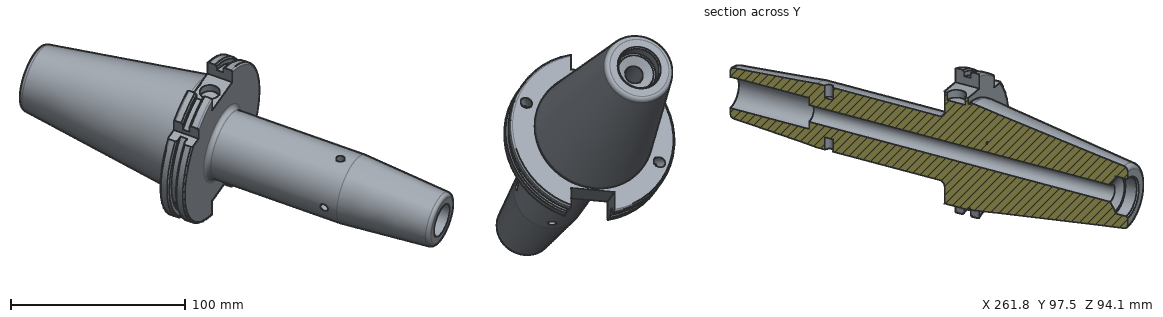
import cadquery as cq
import math

GAUGE_DIA = 69.85
TAPER_RATIO = 7 / 24
TAPER_LENGTH = 101.75
TAPER_END_FILLET = 3.0
NOSE_X = 160.0

FLANGE_DIA = 97.5
FLANGE_BACK_X = 3.2
FLANGE_FRONT_X = 19.1
FLANGE_EDGE_FILLET = 1.0
GROOVE_CENTER_X = 11.15
GROOVE_FLOOR_DIA = 90.0
GROOVE_WIDTH = 4.2
GROOVE_MOUTH_CHAMFER = 1.0
UNDERCUT_DIA = 68.0
UNDERCUT_WIDTH = 1.2

KEYWAY_WIDTH = 25.7
UPPER_KEYWAY_FLOOR = 37.7
LOWER_KEYWAY_FLOOR = 35.4
NOTCH_OFFSET = 30.3
CHIP_HOLE_DIA = 11.5
CHIP_HOLE_DEPTH = 5.0

BODY_DIA = 42.0
BODY_ROOT_FILLET = 3.0
NOSE_DIA = 33.0
NOSE_CONE_ANGLE = 4.5
NOSE_FILLET = 2.5

DRAWBAR_BORE_DIA = 24.0
DRAWBAR_BORE_DEPTH = 8.3
DRAWBAR_MOUTH_DIA = 25.7
DRAWBAR_MOUTH_DEPTH = 1.0
CORE_DIA = 21.4
CORE_CONE_ANGLE = 59.0
COOLANT_BORE_DIA = 10.6
SHANK_BORE_DIA = 20.0
SHANK_BORE_DEPTH = 52.0

BALANCE_HOLE_DIA = 5.0
BALANCE_HOLE_DEPTH = 8.0
BALANCE_HOLE_X = 95.0
BALANCE_HOLE_COUNT = 4

FACE_HOLE_DIA = 6.0
FACE_HOLE_RADIUS = 42.0
FACE_HOLE_ANGLES = (20.0, 200.0)
FACE_HOLE_TILT = 30.0
CROSS_HOLE_DIA = 3.0


def revolve(points):
    """Solid of revolution about X from (x, radius) points."""
    return cq.Workplane("XY").polyline(points).close().revolve(360, (0, 0, 0), (1, 0, 0))


def box(x_range, y_range, z_range):
    """Box spanning the three given ranges."""
    size = [high - low for low, high in (x_range, y_range, z_range)]
    corner = (x_range[0], y_range[0], z_range[0])
    return cq.Workplane(cq.Solid.makeBox(*size, cq.Vector(*corner)))


def cylinder(start, direction, diameter, length):
    return cq.Workplane(
        cq.Solid.makeCylinder(diameter / 2, length, cq.Vector(*start), cq.Vector(*direction))
    )


def make_taper():
    end_radius = (GAUGE_DIA - TAPER_LENGTH * TAPER_RATIO) / 2
    undercut_x = FLANGE_BACK_X - UNDERCUT_WIDTH
    taper = revolve([
        (-TAPER_LENGTH, 0),
        (-TAPER_LENGTH, end_radius),
        (0, GAUGE_DIA / 2),
        (undercut_x, GAUGE_DIA / 2),
        (undercut_x, UNDERCUT_DIA / 2),
        (FLANGE_BACK_X, UNDERCUT_DIA / 2),
        (FLANGE_BACK_X, 0),
    ])
    return taper.faces("<X").edges().fillet(TAPER_END_FILLET)


def make_flange():
    outer = FLANGE_DIA / 2
    floor = GROOVE_FLOOR_DIA / 2
    half_groove = GROOVE_WIDTH / 2
    half_mouth = half_groove + GROOVE_MOUTH_CHAMFER
    chamfer_radius = outer - GROOVE_MOUTH_CHAMFER
    flange = revolve([
        (FLANGE_BACK_X, 0),
        (FLANGE_BACK_X, outer),
        (GROOVE_CENTER_X - half_mouth, outer),
        (GROOVE_CENTER_X - half_groove, chamfer_radius),
        (GROOVE_CENTER_X - half_groove, floor),
        (GROOVE_CENTER_X + half_groove, floor),
        (GROOVE_CENTER_X + half_groove, chamfer_radius),
        (GROOVE_CENTER_X + half_mouth, outer),
        (FLANGE_FRONT_X, outer),
        (FLANGE_FRONT_X, 0),
    ])
    return flange.faces("<X or >X").edges().fillet(FLANGE_EDGE_FILLET)


def make_body():
    body_radius = BODY_DIA / 2
    nose_radius = NOSE_DIA / 2
    cone_length = (body_radius - nose_radius) / math.tan(math.radians(NOSE_CONE_ANGLE))
    root = BODY_ROOT_FILLET
    root_middle = root * (1 - math.sqrt(0.5))
    profile = (
        cq.Workplane("XY")
        .moveTo(FLANGE_FRONT_X, 0)
        .lineTo(FLANGE_FRONT_X, body_radius + root)
        .threePointArc(
            (FLANGE_FRONT_X + root_middle, body_radius + root_middle),
            (FLANGE_FRONT_X + root, body_radius),
        )
        .lineTo(NOSE_X - cone_length, body_radius)
        .lineTo(NOSE_X, nose_radius)
        .lineTo(NOSE_X, 0)
        .close()
    )
    body = profile.revolve(360, (0, 0, 0), (1, 0, 0))
    return body.faces(">X").edges().fillet(NOSE_FILLET)


def make_bores():
    coolant_radius = COOLANT_BORE_DIA / 2
    core_radius = CORE_DIA / 2
    drawbar_radius = DRAWBAR_BORE_DIA / 2
    back_x = -TAPER_LENGTH
    drawbar_end_x = back_x + DRAWBAR_BORE_DEPTH
    cone_length = (core_radius - coolant_radius) / math.tan(math.radians(CORE_CONE_ANGLE))
    shank_end_x = NOSE_X - SHANK_BORE_DEPTH
    return revolve([
        (back_x, 0),
        (back_x, DRAWBAR_MOUTH_DIA / 2),
        (back_x + DRAWBAR_MOUTH_DEPTH, drawbar_radius),
        (drawbar_end_x, drawbar_radius),
        (drawbar_end_x, core_radius),
        (drawbar_end_x + cone_length, coolant_radius),
        (shank_end_x, coolant_radius),
        (shank_end_x, SHANK_BORE_DIA / 2),
        (NOSE_X, SHANK_BORE_DIA / 2),
        (NOSE_X, 0),
    ])


def cut_flange_openings(part):
    width = (FLANGE_BACK_X, FLANGE_FRONT_X)
    half_key = KEYWAY_WIDTH / 2
    part = part.cut(box(width, (-half_key, half_key), (UPPER_KEYWAY_FLOOR, FLANGE_DIA)))
    part = part.cut(box(width, (-half_key, half_key), (-FLANGE_DIA, -LOWER_KEYWAY_FLOOR)))
    part = part.cut(box(width, (-FLANGE_DIA, -NOTCH_OFFSET), (NOTCH_OFFSET, FLANGE_DIA)))
    chip_start = (GROOVE_CENTER_X, 0, UPPER_KEYWAY_FLOOR)
    return part.cut(cylinder(chip_start, (0, 0, -1), CHIP_HOLE_DIA, CHIP_HOLE_DEPTH))


def cut_face_holes(part):
    """Inclined coolant holes in the flange back face, each met by a radial hole from the groove."""
    tilt = math.radians(FACE_HOLE_TILT)
    meeting_depth = GROOVE_CENTER_X - FLANGE_BACK_X
    meeting_radius = FACE_HOLE_RADIUS - meeting_depth * math.tan(tilt)
    lead_in = FACE_HOLE_DIA
    hole_length = meeting_depth / math.cos(tilt) + lead_in
    for angle in FACE_HOLE_ANGLES:
        y = math.cos(math.radians(angle))
        z = math.sin(math.radians(angle))
        start_x = FLANGE_BACK_X - lead_in * math.cos(tilt)
        start_radius = FACE_HOLE_RADIUS + lead_in * math.sin(tilt)
        start = (start_x, start_radius * y, start_radius * z)
        direction = (math.cos(tilt), -math.sin(tilt) * y, -math.sin(tilt) * z)
        part = part.cut(cylinder(start, direction, FACE_HOLE_DIA, hole_length))
        meeting = (GROOVE_CENTER_X, meeting_radius * y, meeting_radius * z)
        part = part.cut(cylinder(meeting, (0, y, z), CROSS_HOLE_DIA, FLANGE_DIA / 2))
    return part


def cut_balance_holes(part):
    surface = BODY_DIA / 2
    for index in range(BALANCE_HOLE_COUNT):
        angle = 2 * math.pi * index / BALANCE_HOLE_COUNT
        y = math.cos(angle)
        z = math.sin(angle)
        start = (BALANCE_HOLE_X, surface * y, surface * z)
        part = part.cut(cylinder(start, (0, -y, -z), BALANCE_HOLE_DIA, BALANCE_HOLE_DEPTH))
    return part


result = make_taper().union(make_flange()).union(make_body()).cut(make_bores())
result = cut_flange_openings(result)
result = cut_face_holes(result)
result = cut_balance_holes(result)